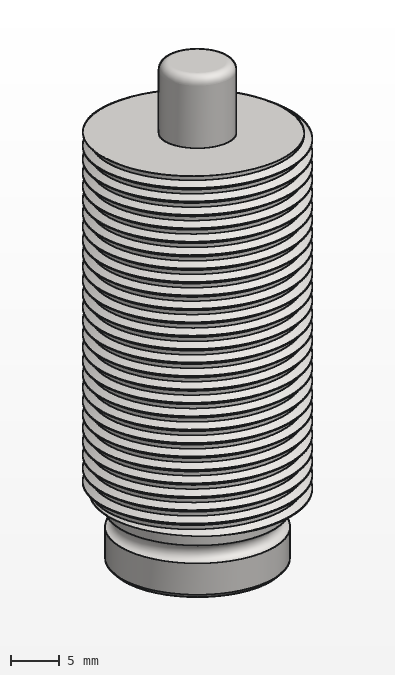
import cadquery as cq
import math

base_length = 8.0
thread_length = 40.0
pin_length = 8.0
thread_bottom = base_length
thread_top = thread_bottom + thread_length

base_radius = 9.5
base_chamfer = 0.5
groove_radius = 1.0
groove_height = 5.0

pin_radius = 4.0
pin_fillet = 1.0

pitch = 1.5
crest_radius = 11.785
root_radius = 10.95
crest_width = 0.08
crest_lead_in = 0.15
flank_angle = math.radians(30.0)
root_overlap = 0.1


def make_base():
    """Revolved base with a bottom chamfer and a half-round groove around it."""
    profile = (
        cq.Workplane("XZ")
        .lineTo(base_radius - base_chamfer, 0)
        .lineTo(base_radius, base_chamfer)
        .lineTo(base_radius, groove_height - groove_radius)
        .threePointArc(
            (base_radius - groove_radius, groove_height),
            (base_radius, groove_height + groove_radius),
        )
        .lineTo(base_radius, thread_bottom)
        .lineTo(0, thread_bottom)
        .close()
    )
    return profile.revolve(360, (0, 0), (0, 1))


def make_pin():
    """Plunger pin standing on the threaded barrel, rounded at its tip."""
    pin = cq.Workplane("XY").workplane(offset=thread_top).circle(pin_radius).extrude(pin_length)
    return pin.faces(">Z").edges().fillet(pin_fillet)


def make_thread_ridge():
    """Helical ridge that runs one pitch past each end of the thread."""
    start_height = thread_bottom + crest_lead_in - pitch
    inner_radius = root_radius - root_overlap
    crest_half = crest_width / 2
    inner_half = crest_half + (crest_radius - inner_radius) * math.tan(flank_angle)

    helix = cq.Wire.makeHelix(pitch, thread_length + 2 * pitch, root_radius)
    helix = helix.translate(cq.Vector(0, 0, start_height))
    section = (
        cq.Workplane("XZ")
        .moveTo(inner_radius, start_height - inner_half)
        .lineTo(crest_radius, start_height - crest_half)
        .lineTo(crest_radius, start_height + crest_half)
        .lineTo(inner_radius, start_height + inner_half)
        .close()
    )
    return section.sweep(cq.Workplane(obj=helix), isFrenet=True)


def make_threaded_barrel():
    """Core and ridge fused while too long at both ends, then cut flat to the thread length."""
    extra_length = 2 * pitch
    core = (
        cq.Workplane("XY")
        .workplane(offset=thread_bottom - extra_length)
        .circle(root_radius)
        .extrude(thread_length + 2 * extra_length)
    )
    envelope = (
        cq.Workplane("XY")
        .workplane(offset=thread_bottom)
        .circle(crest_radius + pitch)
        .extrude(thread_length)
    )
    return core.union(make_thread_ridge(), clean=False).intersect(envelope)


result = make_threaded_barrel().union(make_base()).union(make_pin())